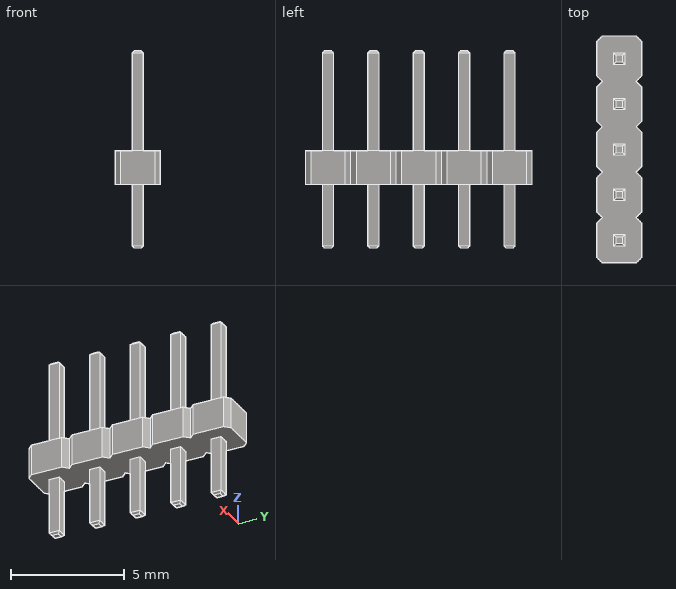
import cadquery as cq

pin_count = 5
pitch = 2.0
housing_width = 2.0
housing_height = 1.5
corner_cut = 0.25
housing_length = pin_count * pitch

pin_side = 0.5
pin_above = 4.4
pin_below = 2.8
tip_chamfer = 0.1
pin_length = pin_below + housing_height + pin_above


def housing_cell(y):
    """One housing block with its four vertical edges chamfered, resting on Z = 0."""
    block = cq.Workplane("XY").box(housing_width, pitch, housing_height, centered=(True, True, False))
    return block.edges("|Z").chamfer(corner_cut).translate((0, y, 0))


def pin(y):
    """One square pin with chamfered tips at both ends."""
    blank = cq.Workplane("XY").box(pin_side, pin_side, pin_length, centered=(True, True, False))
    return blank.faces("<Z or >Z").chamfer(tip_chamfer).translate((0, y, -pin_below))


first_pin_y = (pitch - housing_length) / 2
pin_positions = [first_pin_y + i * pitch for i in range(pin_count)]

result = housing_cell(pin_positions[0])
for y in pin_positions[1:]:
    result = result.union(housing_cell(y))
for y in pin_positions:
    result = result.union(pin(y))
result = result.clean()